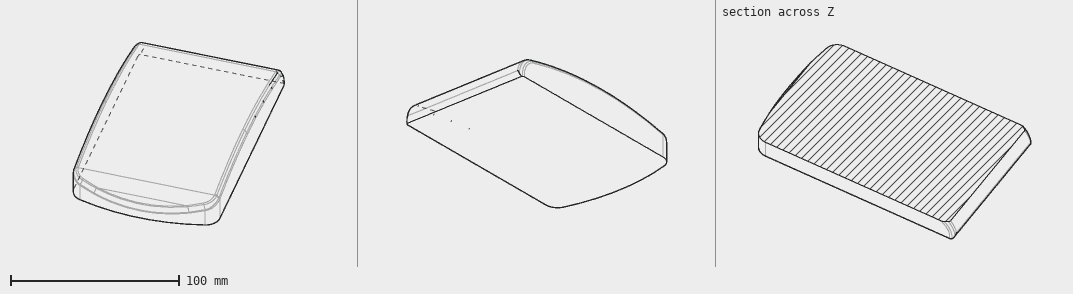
import cadquery as cq
import math

length = 145.0
width = 91.0
height = 24.0

crest_y = 69.0
crown_radius = 263.9
front_round_start_y = 13.0
front_round_middle = (8.3, 16.2)
front_slope_start = (4.4, 13.0)
front_edge_height = 8.3
front_overrun = 1.5
rear_round_start_y = 134.8
rear_round_middle = (142.1, 10.7)
rear_bulge_height = 4.0
rear_undercut = 1.3
rear_undercut_middle = (144.5, 1.7)

front_bow_radius = 143.4
front_corner_radius = 9.0

rim_chamfer = 2.3
rim_radius = 1.7


def crown_height(y):
    """Height of the crowned top at a given distance from the front."""
    return height - crown_radius + math.sqrt(crown_radius**2 - (y - crest_y) ** 2)


def crown_point(y):
    """Point on the crowned top, as (y, z)."""
    return (y, crown_height(y))


def make_crowned_bar():
    """Side profile extruded across the full width."""
    slope_y, slope_z = front_slope_start
    front_slope = (slope_z - front_edge_height) / slope_y
    slope_end_height = front_edge_height - front_slope * front_overrun
    crest = (crest_y, height)
    front_start = crown_point(front_round_start_y)
    rear_start = crown_point(rear_round_start_y)
    front_crown_middle = crown_point((front_round_start_y + crest_y) / 2)
    rear_crown_middle = crown_point((rear_round_start_y + crest_y) / 2)
    return (
        cq.Workplane("YZ", origin=(-width / 2, 0, 0))
        .moveTo(-front_overrun, 0)
        .lineTo(-front_overrun, slope_end_height)
        .lineTo(slope_y, slope_z)
        .threePointArc(front_round_middle, front_start)
        .threePointArc(front_crown_middle, crest)
        .threePointArc(rear_crown_middle, rear_start)
        .threePointArc(rear_round_middle, (length, rear_bulge_height))
        .threePointArc(rear_undercut_middle, (length - rear_undercut, 0))
        .close()
        .extrude(width, clean=False)
    )


def make_footprint_block():
    """Block with a bowed front wall and rounded vertical front corners."""
    half_width = width / 2
    bow_end_y = front_bow_radius - math.sqrt(front_bow_radius**2 - half_width**2)
    return (
        cq.Workplane("XY")
        .moveTo(-half_width, bow_end_y)
        .threePointArc((0, 0), (half_width, bow_end_y))
        .lineTo(half_width, length)
        .lineTo(-half_width, length)
        .close()
        .extrude(height)
        .edges("|Z")
        .edges("<Y")
        .fillet(front_corner_radius)
    )


def soften_rim(body):
    """Chamfer the rim of the crowned top, then round both edges of the chamfer."""
    chamfered = body.faces("<X").edges("not(|Z or <Z)").edges(">Z").chamfer(rim_chamfer)
    wall_softened = chamfered.faces("<X").edges("not(|Z or <Z)").edges(">Z").fillet(rim_radius)
    return wall_softened.edges("%CIRCLE").edges(">Z").edges("<X").fillet(rim_radius)


body = make_crowned_bar().intersect(make_footprint_block(), clean=False)
result = soften_rim(body)